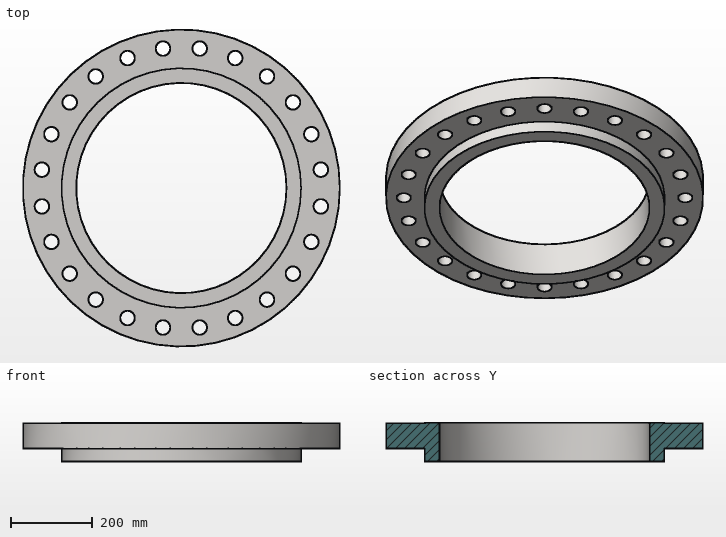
import cadquery as cq

flange_diameter = 775.0
hub_diameter = 586.5
raised_face_diameter = 585.0
bore_diameter = 513.0
total_height = 95.0
hub_height = 32.0
raised_face_height = 1.5
flange_thickness = total_height - hub_height - raised_face_height

bolt_count = 24
bolt_circle_diameter = 687.0
bolt_hole_diameter = 35.0
first_bolt_angle = 360 / bolt_count / 2


def make_body():
    """Stack the hub, the flange and the raised face along Z, hub at the bottom."""
    hub = cq.Workplane("XY").circle(hub_diameter / 2).extrude(hub_height)
    flange = hub.faces(">Z").workplane().circle(flange_diameter / 2).extrude(flange_thickness)
    return flange.faces(">Z").workplane().circle(raised_face_diameter / 2).extrude(raised_face_height)


def make_bore():
    """Cylinder that opens the middle of the ring."""
    return cq.Workplane("XY").circle(bore_diameter / 2).extrude(total_height)


def make_bolt_holes():
    """Evenly spaced cylinders that pass through the flange."""
    return (
        cq.Workplane("XY")
        .polarArray(bolt_circle_diameter / 2, first_bolt_angle, 360, bolt_count)
        .circle(bolt_hole_diameter / 2)
        .extrude(total_height)
    )


result = make_body().cut(make_bore()).cut(make_bolt_holes())